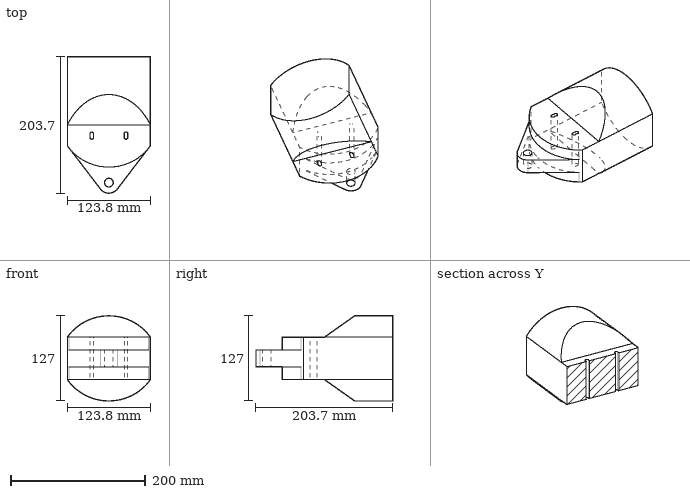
import cadquery as cq
import math

length = 203.7
width = 123.8
height = 127.0
half_width = width / 2

side_height = 63.5
dome_end = 56.6
slope_end = 101.6

plate_radius = 76.2
plate_front = 164.8

tongue_thickness = 25.5
tip_radius = 15.9
pin_hole_diameter = 12.6

slot_width = 5.0
slot_length = 10.5
slot_spacing = 51.0
slot_distance = 117.7

plate_center_y = plate_radius - plate_front
tip_center_y = tip_radius - length
corner_y = plate_center_y - math.sqrt(plate_radius**2 - half_width**2)


def make_body():
    """Domed section along Y, reaching the full length."""
    side_top = side_height / 2
    return (
        cq.Workplane("XZ")
        .moveTo(-half_width, -side_top)
        .threePointArc((0, -height / 2), (half_width, -side_top))
        .lineTo(half_width, side_top)
        .threePointArc((0, height / 2), (-half_width, side_top))
        .close()
        .extrude(length)
    )


def make_side_profile():
    """Outline in the YZ plane that slopes the domes down to the plates."""
    side_top = side_height / 2
    dome_top = height / 2
    upper = [(0, dome_top), (-dome_end, dome_top), (-slope_end, side_top), (-length, side_top)]
    lower = [(y, -z) for y, z in reversed(upper)]
    return cq.Workplane("YZ").polyline(upper + lower).close().extrude(half_width, both=True)


def make_plan_profile():
    """Outline in the XY plane, tapering from the side corners to the tongue tip."""
    reach = tip_center_y - corner_y
    corner_angle = math.atan2(-reach, half_width)
    tangent_angle = corner_angle - math.acos(tip_radius / math.hypot(half_width, reach))
    tangent_x = tip_radius * math.cos(tangent_angle)
    tangent_y = tip_center_y + tip_radius * math.sin(tangent_angle)
    return (
        cq.Workplane("XY")
        .moveTo(-half_width, 0)
        .lineTo(-half_width, corner_y)
        .lineTo(-tangent_x, tangent_y)
        .threePointArc((0, -length), (tangent_x, tangent_y))
        .lineTo(half_width, corner_y)
        .lineTo(half_width, 0)
        .close()
        .extrude(height / 2, both=True)
    )


def make_plate_trim():
    """Material ahead of the plate arc, above and below the tongue."""
    front_length = length + corner_y
    front_block = cq.Workplane("XY").box(width, front_length, height)
    front_block = front_block.translate((0, corner_y - front_length / 2, 0))
    plate_disc = cq.Workplane("XY").center(0, plate_center_y).circle(plate_radius)
    tongue_slab = cq.Workplane("XY").box(width, 2 * length, tongue_thickness)
    return front_block.cut(plate_disc.extrude(height / 2, both=True)).cut(tongue_slab)


def make_holes():
    """Pin hole in the tongue and the two slots, all along Z."""
    pin_hole = cq.Workplane("XY").center(0, tip_center_y).circle(pin_hole_diameter / 2)
    slots = (
        cq.Workplane("XY")
        .pushPoints([(side * slot_spacing / 2, -slot_distance) for side in (-1, 1)])
        .slot2D(slot_length, slot_width, 90)
    )
    return pin_hole.extrude(height / 2, both=True).add(slots.extrude(height / 2, both=True)).combine()


result = make_body().intersect(make_side_profile()).intersect(make_plan_profile())
result = result.cut(make_plate_trim()).cut(make_holes())